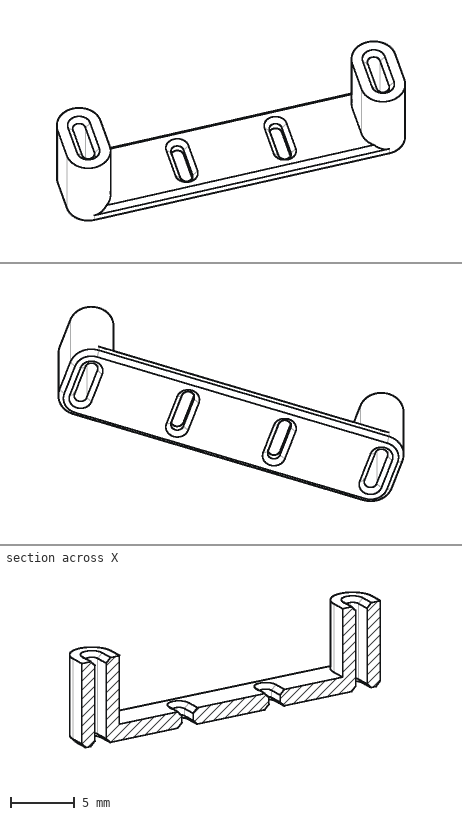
import cadquery as cq

SLOT_PITCH = 8.0
SLOT_COUNT = 4
STRAIGHT_LENGTH = 2.6
POST_DEPTH = 3.5
SLOT_WIDTH = 1.0
TOTAL_HEIGHT = 7.1
PLATE_THICKNESS = 1.4
EDGE_CHAMFER = 0.4
SLOT_CHAMFER = 0.4
FLARE_ANGLE = 45.0

PART_WIDTH = STRAIGHT_LENGTH + POST_DEPTH
POST_SPACING = SLOT_PITCH * (SLOT_COUNT - 1)
POST_CENTRES = (-POST_SPACING / 2, POST_SPACING / 2)
SLOT_CENTRES = [SLOT_PITCH * i - POST_SPACING / 2 for i in range(SLOT_COUNT)]


def obround(width, height, y_centre, z_bottom):
    """Upright prism with rounded ends along X and the shared straight run."""
    return (
        cq.Workplane("XY", origin=(0, y_centre, z_bottom))
        .slot2D(STRAIGHT_LENGTH + width, width)
        .extrude(height)
    )


def make_plate():
    """Flat bar joining the post centres, with its upper long edges chamfered."""
    plate = cq.Workplane("XY").box(
        PART_WIDTH, POST_SPACING, PLATE_THICKNESS, centered=(True, True, False)
    )
    return plate.edges("|Y and >Z").chamfer(EDGE_CHAMFER)


def make_flare(y_centre, z_face, depth):
    """Countersink narrowing from the face at z_face; a negative depth goes down."""
    mouth_width = SLOT_WIDTH + 2 * SLOT_CHAMFER
    return (
        cq.Workplane("XY", origin=(0, y_centre, z_face))
        .slot2D(STRAIGHT_LENGTH + mouth_width, mouth_width)
        .extrude(depth, taper=FLARE_ANGLE)
    )


def make_slot_cutter(y_centre, z_top):
    """Through slot that flares out at both the top and the bottom face."""
    passage = obround(SLOT_WIDTH, z_top, y_centre, 0)
    top_flare = make_flare(y_centre, z_top, -SLOT_CHAMFER)
    bottom_flare = make_flare(y_centre, 0, SLOT_CHAMFER)
    return passage.union(top_flare).union(bottom_flare)


body = make_plate()
for post_y in POST_CENTRES:
    body = body.union(obround(POST_DEPTH, TOTAL_HEIGHT, post_y, 0))

body = body.faces("<Z").edges().chamfer(EDGE_CHAMFER)

for slot_y in SLOT_CENTRES:
    top = TOTAL_HEIGHT if slot_y in POST_CENTRES else PLATE_THICKNESS
    body = body.cut(make_slot_cutter(slot_y, top))

result = body